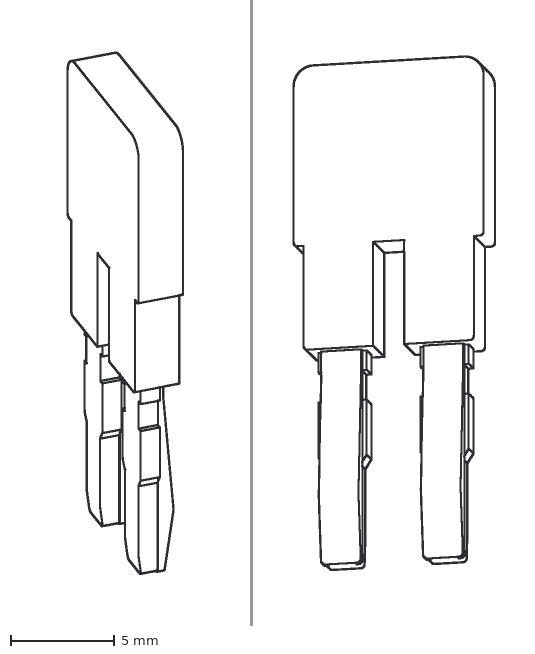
import cadquery as cq

head_width = 9.5
thickness = 2.3
total_height = 24.85
head_bottom = 15.85
leg_bottom = 10.65
legs_width = 8.5
leg_gap = 1.55
top_radius = 1.0
corner_radius = 0.2

pin_pitch = 5.1
pin_offset = -0.05
plate_front = -0.65
plate_back = 0.35
plate_width = 2.4
neck_width = 1.9
shank_width = 1.8
neck_top = 9.7
neck_bottom = 8.2
shoulder_top = 5.45
shoulder_bottom = 4.97
bevel_height = 1.2
bevel_depth = 0.15
ridge_width = 1.99
ridge_root_back = 0.62
ridge_tip_back = 0.67
ridge_peak_height = 3.35
tip_radius = 0.2


def block(width, y_front, y_back, z_bottom, z_top):
    """Box centred on X between the given Y and Z limits."""
    return cq.Workplane("XY").box(
        width, y_back - y_front, z_top - z_bottom, centered=(True, False, False)
    ).translate((0, y_front, z_bottom))


def make_housing():
    half = thickness / 2
    head = block(head_width, -half, half, head_bottom, total_height)
    head = head.edges("|Y and >Z").fillet(top_radius)
    head = head.edges("|Y and <Z").fillet(corner_radius)
    legs = block(legs_width, -half, half, leg_bottom, head_bottom)
    legs = legs.edges("|Y and <Z").fillet(corner_radius)
    gap = block(leg_gap, -half, half, leg_bottom, head_bottom)
    return head.union(legs.cut(gap))


def make_plate():
    right_side = [
        (shank_width / 2, 0),
        (shank_width / 2, shoulder_bottom),
        (plate_width / 2, shoulder_top),
        (plate_width / 2, neck_bottom),
        (neck_width / 2, neck_bottom),
        (neck_width / 2, neck_top),
        (plate_width / 2, neck_top),
        (plate_width / 2, leg_bottom),
    ]
    left_side = [(-x, z) for x, z in reversed(right_side)]
    plate = (
        cq.Workplane("XZ", origin=(0, plate_back, 0))
        .polyline(right_side + left_side)
        .close()
        .extrude(plate_back - plate_front)
    )
    plate = plate.edges("|Y and <Z").fillet(tip_radius)
    bevel = (
        cq.Workplane("YZ")
        .polyline([(plate_front, 0), (plate_front + bevel_depth, 0), (plate_front, bevel_height)])
        .close()
        .extrude(plate_width / 2, both=True)
    )
    return plate.cut(bevel)


def make_ridge():
    profile = [
        (plate_back, 0),
        (ridge_tip_back, 0),
        (thickness / 2, ridge_peak_height),
        (ridge_root_back, neck_top),
        (ridge_root_back, leg_bottom),
        (plate_back, leg_bottom),
    ]
    ridge = cq.Workplane("YZ").polyline(profile).close().extrude(ridge_width / 2, both=True)
    return ridge.edges("|Y and <Z").fillet(tip_radius)


pin = make_plate().union(make_ridge())
result = make_housing()
for side in (-1, 1):
    result = result.union(pin.translate((pin_offset + side * pin_pitch / 2, 0, 0)))